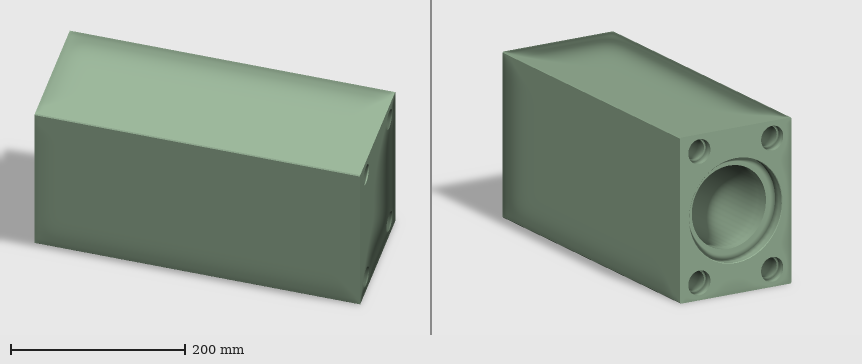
import cadquery as cq

length = 388.0
width = 150.0
height = 200.0
long_edge_chamfer = 1.0

bore_diameter = 100.0
bore_floor_thickness = (height - bore_diameter) / 2
bore_depth = length - bore_floor_thickness
mouth_diameter = 125.0
mouth_depth = 15.0
mouth_chamfer = 0.65

bolt_spacing_y = 98.0
bolt_spacing_z = 158.0
bolt_diameter = 25.0
bolt_counterbore_diameter = 30.0
bolt_counterbore_depth = 10.0

open_end_x = -length / 2
inward = cq.Vector(1, 0, 0)


def bore(diameter, depth, y=0, z=0):
    """Cylinder reaching inward along +X from the open end."""
    start = cq.Vector(open_end_x, y, z)
    return cq.Workplane(obj=cq.Solid.makeCylinder(diameter / 2, depth, start, inward))


def make_block():
    block = cq.Workplane("XY").box(length, width, height)
    return block.edges("|X").chamfer(long_edge_chamfer)


def cut_main_bore(body):
    body = body.cut(bore(bore_diameter, bore_depth))
    body = body.cut(bore(mouth_diameter, mouth_depth))
    chamfer_cone = cq.Solid.makeCone(
        mouth_diameter / 2 + mouth_chamfer,
        mouth_diameter / 2,
        mouth_chamfer,
        cq.Vector(open_end_x, 0, 0),
        inward,
    )
    return body.cut(cq.Workplane(obj=chamfer_cone))


def cut_bolt_holes(body):
    for side_y in (-1, 1):
        for side_z in (-1, 1):
            y = side_y * bolt_spacing_y / 2
            z = side_z * bolt_spacing_z / 2
            body = body.cut(bore(bolt_diameter, length, y, z))
            body = body.cut(bore(bolt_counterbore_diameter, bolt_counterbore_depth, y, z))
    return body


result = cut_bolt_holes(cut_main_bore(make_block()))